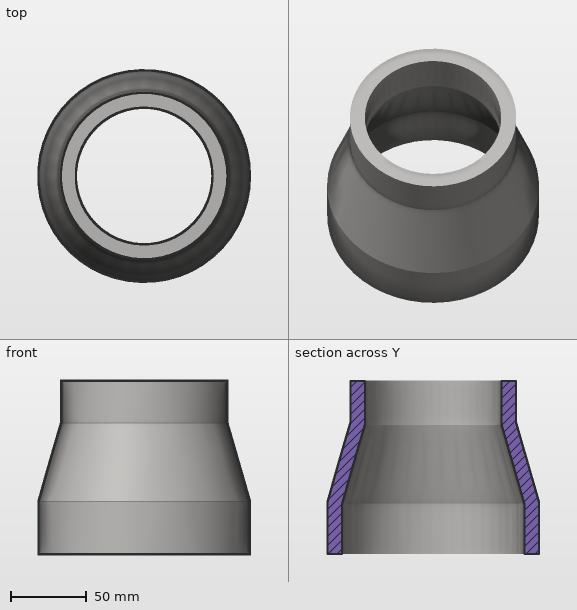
import cadquery as cq
import math

wide_diameter = 140.0
narrow_diameter = 110.0
wall = 10.0
wide_length = 35.0
narrow_length = 28.0
total_height = 115.0

wide_radius = wide_diameter / 2
narrow_radius = narrow_diameter / 2
taper_top = total_height - narrow_length

taper_angle = math.atan2(wide_radius - narrow_radius, taper_top - wide_length)
bore_drop = wall * math.tan(taper_angle / 2)


def reducer_body(lower_radius, upper_radius, taper_start, taper_end):
    """Solid of revolution: wide cylinder, straight taper, narrow cylinder."""
    return (
        cq.Workplane("XZ")
        .lineTo(lower_radius, 0)
        .lineTo(lower_radius, taper_start)
        .lineTo(upper_radius, taper_end)
        .lineTo(upper_radius, total_height)
        .lineTo(0, total_height)
        .close()
        .revolve(360, (0, 0, 0), (0, 1, 0))
    )


outer_body = reducer_body(wide_radius, narrow_radius, wide_length, taper_top)
bore = reducer_body(
    wide_radius - wall,
    narrow_radius - wall,
    wide_length - bore_drop,
    taper_top - bore_drop,
)

result = outer_body.cut(bore)